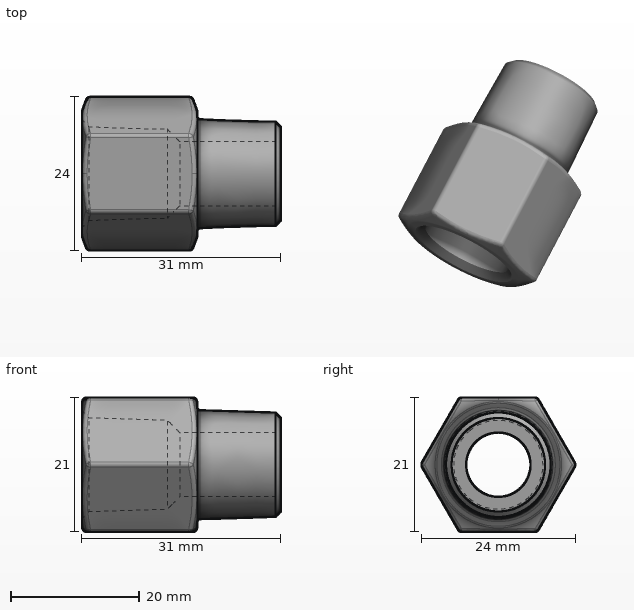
import cadquery as cq
import math

total_length = 31.0
hex_length = 18.0
across_flats = 21.0

hex_edge_radius = 0.78
end_face_radius = 9.73
end_bevel_angle = math.radians(20)

thread_slope = 1 / 32

clearance = 0.3

spigot_root_radius = 8.52
spigot_tip_chamfer = 0.85
root_fillet = 0.37
spigot_overlap = 1.25

mouth_radius = 8.43
mouth_chamfer = 1.12
socket_depth = 13.33
socket_floor_angle = math.radians(45)
bore_radius = 5.0


def revolve_about_x(points):
    """Turn a closed (axial, radial) outline into a solid around the X axis."""
    return cq.Workplane("XZ").polyline(points).close().revolve(360, (0, 0, 0), (1, 0, 0))


def make_hex_body():
    """Hexagonal prism with conical bevels at both ends and rounded edges."""
    corner_radius = across_flats / math.sqrt(3)
    prism = cq.Workplane("YZ").polygon(6, 2 * corner_radius).extrude(hex_length)

    envelope_radius = corner_radius + clearance
    bevel_length = (envelope_radius - end_face_radius) * math.tan(end_bevel_angle)
    envelope = revolve_about_x([
        (0, 0),
        (0, end_face_radius),
        (bevel_length, envelope_radius),
        (hex_length - bevel_length, envelope_radius),
        (hex_length, end_face_radius),
        (hex_length, 0),
    ])
    return prism.intersect(envelope).edges().fillet(hex_edge_radius)


def make_spigot():
    """Tapered spigot with a chamfered tip, starting inside the hexagonal body."""
    tip_radius = spigot_root_radius - thread_slope * (total_length - hex_length)
    return revolve_about_x([
        (hex_length - spigot_overlap, 0),
        (hex_length - spigot_overlap, spigot_root_radius + thread_slope * spigot_overlap),
        (total_length - spigot_tip_chamfer, tip_radius + thread_slope * spigot_tip_chamfer),
        (total_length, tip_radius - spigot_tip_chamfer),
        (total_length, 0),
    ])


def make_bore():
    """Chamfered tapered socket narrowing through a cone into the through bore."""
    socket_start_radius = mouth_radius - mouth_chamfer
    socket_end_radius = socket_start_radius - thread_slope * (socket_depth - mouth_chamfer)
    floor_length = (socket_end_radius - bore_radius) / math.tan(socket_floor_angle)
    return revolve_about_x([
        (0, 0),
        (0, mouth_radius),
        (mouth_chamfer, socket_start_radius),
        (socket_depth, socket_end_radius),
        (socket_depth + floor_length, bore_radius),
        (total_length, bore_radius),
        (total_length, 0),
    ])


def round_spigot_root(adapter):
    """Fillet the circle where the spigot leaves the end face of the hexagon."""
    reach = spigot_root_radius + clearance
    root_circle = cq.selectors.BoxSelector(
        (hex_length - clearance, -reach, -reach),
        (hex_length + clearance, reach, reach),
        boundingbox=True,
    )
    return adapter.edges(root_circle).fillet(root_fillet)


adapter_blank = make_hex_body().union(make_spigot())
result = round_spigot_root(adapter_blank).cut(make_bore())